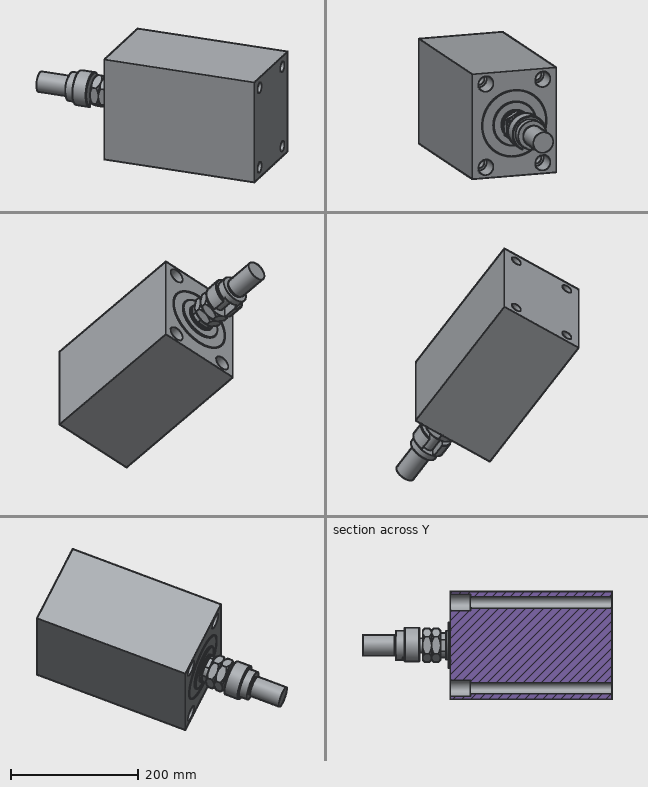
import cadquery as cq
import math


block_length = 255
block_width = 140
block_height = 170
bolt_spacing_y = 95
bolt_spacing_z = 135
bolt_hole_diameter = 17
counterbore_diameter = 25
counterbore_depth = 32
face_groove_outer_diameter = 108
face_groove_width = 1
face_groove_depth = 1
boss_diameter = 72
boss_height = 3
boss_chamfer = 1

rod_diameter = 46
rod_shoulder = 3.8
rod_chamfer = 1
rod_insertion = 40
neck_diameter = 43
neck_flats = 39
neck_length = 8

hex_across_flats = 46
hex_thickness = 14.2
stud_diameter = 23
stud_gap = 4.5
stud_insertion = 25

ring_diameter = 56
ring_length = 24.3
ring_chamfer = 1.2
collar_diameter = 46.5
collar_length = 13
slot_run_into_collar = 2.6
shank_diameter = 33
shank_length = 50.5
shank_chamfer = 1.5
undercut_diameter = 30
undercut_length = 1.5

boss_face_x = -boss_height
neck_start_x = boss_face_x - rod_shoulder
rod_end_x = neck_start_x - neck_length
nut_end_x = rod_end_x - hex_thickness
stud_hex_end_x = nut_end_x - hex_thickness
ring_back_x = stud_hex_end_x - stud_gap
ring_front_x = ring_back_x - ring_length
slot_end_x = ring_front_x - slot_run_into_collar
collar_front_x = ring_front_x - collar_length
shank_back_x = collar_front_x - undercut_length
shank_tip_x = shank_back_x - shank_length


def cylinder(start_x, end_x, diameter):
    """Solid cylinder on the X axis between two stations, start_x < end_x."""
    return cq.Workplane("YZ", origin=(start_x, 0, 0)).circle(diameter / 2).extrude(end_x - start_x)


def bolt_pattern(diameter, depth):
    """Four cylinders at the bolt positions, running into the block from its front face."""
    return (
        cq.Workplane("YZ")
        .rect(bolt_spacing_y, bolt_spacing_z, forConstruction=True)
        .vertices()
        .circle(diameter / 2)
        .extrude(depth)
    )


def make_block():
    body = cq.Workplane("YZ").rect(block_width, block_height).extrude(block_length)
    bolt_holes = bolt_pattern(bolt_hole_diameter, block_length)
    counterbores = bolt_pattern(counterbore_diameter, counterbore_depth)
    groove = (
        cq.Workplane("YZ")
        .circle(face_groove_outer_diameter / 2)
        .circle(face_groove_outer_diameter / 2 - face_groove_width)
        .extrude(face_groove_depth)
    )
    boss = cylinder(boss_face_x, 0, boss_diameter).faces("<X or >X").chamfer(boss_chamfer)
    rod_bore = cylinder(boss_face_x, rod_insertion, rod_diameter)
    body = body.cut(bolt_holes).cut(counterbores).cut(groove)
    return body.union(boss).cut(rod_bore)


def make_rod():
    shaft = cylinder(neck_start_x, rod_insertion, rod_diameter).faces("<X").chamfer(rod_chamfer)
    neck = cylinder(rod_end_x, neck_start_x, neck_diameter).intersect(
        cq.Workplane("YZ", origin=(rod_end_x, 0, 0)).rect(neck_flats, neck_flats).extrude(neck_length)
    )
    stud_hole = cylinder(rod_end_x, rod_end_x + stud_insertion, stud_diameter)
    return shaft.union(neck).cut(stud_hole)


def make_hexagon(start_x):
    """Hexagon with two corners on the Z axis, its corners coned off at 45 degrees on both ends."""
    across_corners = hex_across_flats / math.cos(math.pi / 6)
    prism = (
        cq.Workplane("YZ", origin=(start_x, 0, 0))
        .polygon(6, across_corners)
        .extrude(hex_thickness)
        .rotate((0, 0, 0), (1, 0, 0), 90)
    )
    face_radius = hex_across_flats / 2
    corner_radius = across_corners / 2
    cone_length = corner_radius - face_radius
    end_x = start_x + hex_thickness
    envelope = (
        cq.Workplane("XY")
        .moveTo(start_x, 0)
        .lineTo(start_x, face_radius)
        .lineTo(start_x + cone_length, corner_radius)
        .lineTo(end_x - cone_length, corner_radius)
        .lineTo(end_x, face_radius)
        .lineTo(end_x, 0)
        .close()
        .revolve(360, (0, 0, 0), (1, 0, 0))
    )
    return prism.intersect(envelope)


def make_lock_nut():
    return make_hexagon(nut_end_x).cut(cylinder(nut_end_x, rod_end_x, stud_diameter))


def make_stud():
    shaft = cylinder(slot_end_x, rod_end_x + stud_insertion, stud_diameter)
    return make_hexagon(stud_hex_end_x).union(shaft)


def make_coupling():
    ring = cylinder(ring_front_x, ring_back_x, ring_diameter).faces("<X or >X").chamfer(ring_chamfer)
    collar = cylinder(collar_front_x, ring_front_x, collar_diameter)
    undercut = cylinder(shank_back_x, collar_front_x, undercut_diameter)
    shank = cylinder(shank_tip_x, shank_back_x, shank_diameter).faces(">X").chamfer(shank_chamfer)
    slot = cylinder(slot_end_x, ring_back_x, stud_diameter).union(
        cq.Workplane("YZ", origin=(slot_end_x, 0, 0))
        .center(0, -ring_diameter / 2)
        .rect(stud_diameter, ring_diameter)
        .extrude(ring_back_x - slot_end_x)
    )
    return ring.union(collar).union(undercut).union(shank).cut(slot)


block = make_block()
rod = make_rod()
lock_nut = make_lock_nut()
stud = make_stud()
coupling = make_coupling()

result = cq.Compound.makeCompound(
    [block.val(), rod.val(), lock_nut.val(), stud.val(), coupling.val()]
)